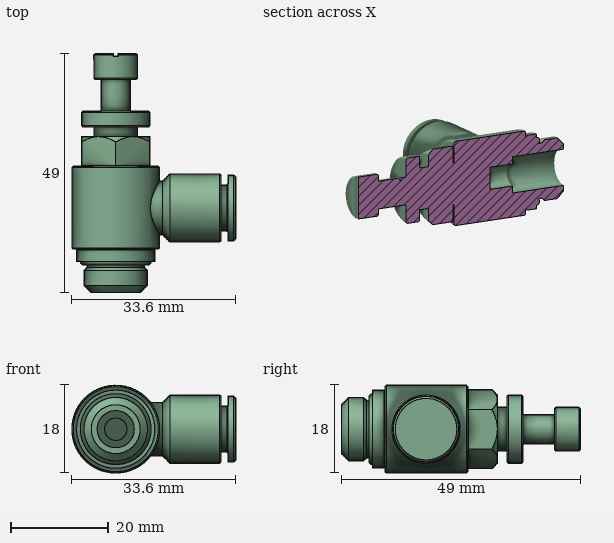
import cadquery as cq
import math

edge_break = 0.3

thread_end_y = -17.35
thread_lead_in = 1.5
thread_top_y = thread_end_y + 4.5
undercut_start_y = thread_end_y + 5.2
flange_bottom_y = thread_end_y + 6.4
flange_bevel_y = thread_end_y + 8.7
body_bottom_y = thread_end_y + 8.9
body_top_y = thread_end_y + 25.9
hex_bottom_y = body_top_y + 0.1
hex_top_y = thread_end_y + 31.95
nut_bottom_y = thread_end_y + 33.9
nut_top_y = thread_end_y + 37.2
head_bottom_y = thread_end_y + 43.65
head_top_y = thread_end_y + 48.95

thread_radius = 6.5
undercut_radius = 5.9
seal_centre_radius = 6.5
seal_section_radius = 0.75
flange_radius = 8.0
flange_top_radius = 7.75
body_radius = 9.0
neck_radius = 4.5
nut_radius = 7.0
stem_radius = 3.0
head_radius = 4.5

hex_across_flats = 14.0
hex_across_corners = hex_across_flats / math.cos(math.pi / 6)

slot_width = 1.0
slot_depth = 0.5

bore_radius = 3.8
bore_depth = 12.0
inner_bore_radius = 2.3
inner_bore_depth = -thread_end_y

branch_neck_radius = 5.5
branch_neck_end_x = 9.6
branch_radius = 7.0
branch_cone_end_x = branch_neck_end_x + branch_radius - branch_neck_radius
branch_end_x = 21.6
sleeve_radius = 4.7
sleeve_flare = 0.25
collar_start_x = 23.0
collar_end_x = 24.6
collar_radius = 6.75
collar_chamfer = 0.45


def cylinder_y(radius, start_y, end_y):
    """Cylinder on the Y axis between two stations."""
    disc = cq.Workplane("XZ", origin=(0, start_y, 0)).circle(radius)
    return disc.extrude(start_y - end_y)


def broken_cylinder_y(radius, start_y, end_y):
    """Cylinder on the Y axis with both rims chamfered."""
    return cylinder_y(radius, start_y, end_y).edges().chamfer(edge_break)


def make_bolt_end():
    """Threaded end, undercut and flange with a bevelled upper rim."""
    profile = (
        cq.Workplane("XY")
        .moveTo(0, thread_end_y)
        .lineTo(thread_radius - thread_lead_in, thread_end_y)
        .lineTo(thread_radius, thread_end_y + thread_lead_in)
        .lineTo(thread_radius, thread_top_y)
        .lineTo(undercut_radius, undercut_start_y)
        .lineTo(undercut_radius, flange_bottom_y)
        .lineTo(flange_radius, flange_bottom_y)
        .lineTo(flange_radius, flange_bevel_y)
        .lineTo(flange_top_radius, body_bottom_y)
        .lineTo(0, body_bottom_y)
        .close()
    )
    return profile.revolve(360, (0, 0, 0), (0, 1, 0))


def make_seal():
    """O-ring in the undercut, half sunk into the flange face."""
    section = cq.Workplane("XY").moveTo(seal_centre_radius, flange_bottom_y).circle(seal_section_radius)
    return section.revolve(360, (0, 0, 0), (0, 1, 0))


def make_hexagon():
    """Hexagon with flats facing +X and -X, its top corners turned off at 45 degrees."""
    prism = (
        cq.Workplane("XZ", origin=(0, hex_bottom_y, 0))
        .transformed(rotate=(0, 0, 90))
        .polygon(6, hex_across_corners)
        .extrude(hex_bottom_y - hex_top_y)
    )
    corner_radius = hex_across_corners / 2
    corner_cut = corner_radius - hex_across_flats / 2
    envelope = (
        cylinder_y(corner_radius, hex_bottom_y, hex_top_y)
        .faces(">Y")
        .chamfer(corner_cut)
    )
    return prism.intersect(envelope)


def make_head():
    """Adjusting screw head with a slot running along Z."""
    slot = cq.Workplane("XY").box(slot_width, 2 * slot_depth, 2 * head_radius)
    head = broken_cylinder_y(head_radius, head_bottom_y, head_top_y)
    return head.cut(slot.translate((0, head_top_y, 0)))


def make_branch():
    """Push-in branch with a conical shoulder, a flared sleeve and a release collar."""
    profile = (
        cq.Workplane("XY")
        .lineTo(0, branch_neck_radius)
        .lineTo(branch_neck_end_x, branch_neck_radius)
        .lineTo(branch_cone_end_x, branch_radius)
        .lineTo(branch_end_x - edge_break, branch_radius)
        .lineTo(branch_end_x, branch_radius - edge_break)
        .lineTo(branch_end_x, sleeve_radius)
        .lineTo(collar_start_x - sleeve_flare, sleeve_radius)
        .lineTo(collar_start_x, sleeve_radius + sleeve_flare)
        .lineTo(collar_start_x, collar_radius)
        .lineTo(collar_end_x - collar_chamfer, collar_radius)
        .lineTo(collar_end_x, collar_radius - collar_chamfer)
        .lineTo(collar_end_x, 0)
        .close()
    )
    return profile.revolve(360, (0, 0, 0), (1, 0, 0))


def make_bore():
    """Stepped blind bore entering the threaded end."""
    outer = cylinder_y(bore_radius, thread_end_y, thread_end_y + bore_depth)
    inner = cylinder_y(inner_bore_radius, thread_end_y, thread_end_y + inner_bore_depth)
    return outer.union(inner)


result = (
    broken_cylinder_y(body_radius, body_bottom_y, body_top_y)
    .union(make_branch())
    .union(make_bolt_end())
    .union(make_seal())
    .union(cylinder_y(neck_radius, body_top_y, nut_bottom_y))
    .union(make_hexagon())
    .union(broken_cylinder_y(nut_radius, nut_bottom_y, nut_top_y))
    .union(cylinder_y(stem_radius, nut_top_y, head_bottom_y))
    .union(make_head())
    .cut(make_bore())
)